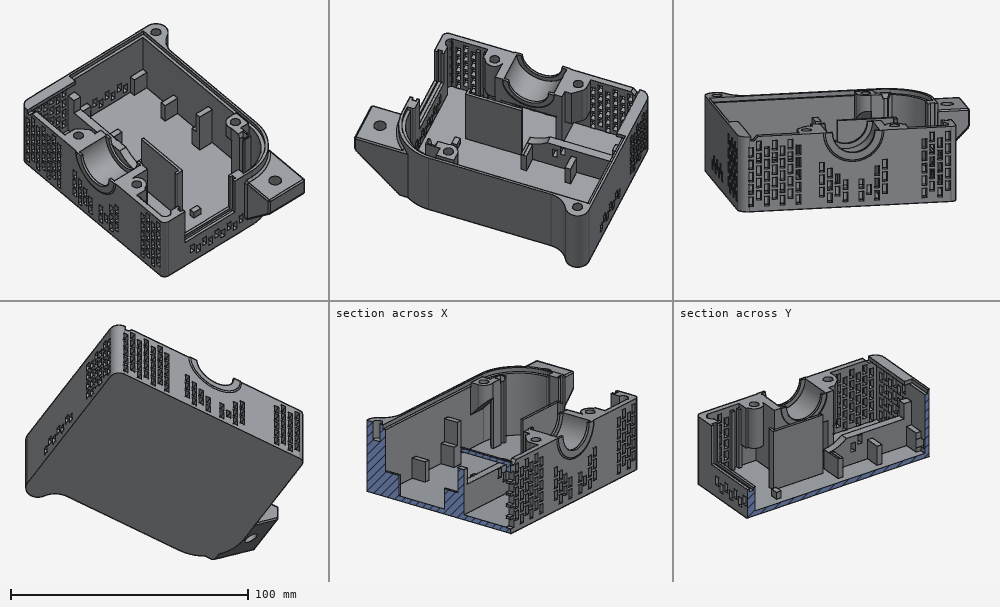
import cadquery as cq
import math

box_length = 93.7
box_width = 68.7
height = 32.7
wall = 2.5
floor = 2.5
front_left_radius = 4.3
front_right_radius = 2.5
back_right_radius = 20.0
inner_corner_radius = 19.0
seat_corner_radius = 19.8
overlap = 0.5

rim_width = 1.1
rim_depth = 1.8
seat_front_y = 26.6
seat_right_end_y = 45.1
shelf_end_x = 5.0

lug_radius = 5.1
lug_y = 71.2
lug_blend_radius = 10.0
screw_radius = 2.1
screw_depth = 8.0

tab_end_x = 108.6
tab_front_y = 45.5
tab_back_y = 65.6
tab_top_z = 28.0
tab_face_bottom_z = 20.0
tab_root_z = 4.8
tab_chamfer = 0.7
tab_root_chamfer = 1.0
tab_flare_x = 86.9
tab_hole_x = 100.9
tab_hole_y = 55.4
tab_hole_radius = 2.6

bearing_x = 49.2
bearing_lip_radius = 9.1
bearing_radius = 11.3
front_ring_radius = 13.0
front_ring_depth = 0.3
front_ring_chamfer = 0.8
back_ring_radius = 11.7
back_ring_depth = 0.4
bearing_start_y = 0.8
bearing_end_y = 15.2
block_left_x = 34.0
block_right_x = 64.3
block_back_y = 15.9
block_bottom_z = 19.0
leg_width = 2.7

boss_radius = 4.0
front_boss_bottom_z = 13.6
left_boss_x = 30.3
right_boss_x = 68.2
front_boss_y = 6.6
right_boss_end_x = 73.1
right_boss_shoulder_y = 7.7
left_boss_step = (31.1, 12.7)
back_boss_x = 67.3
back_boss_y = 62.1
back_boss_end_x = 71.3
back_boss_end_y = 66.0
back_boss_root_z = 17.3

rib_width = 2.5
rib_length = 7.0
rib_spacing = 20.0
rib_count = 3
rib_top_z = 11.7
stop_rib_top_z = 22.3
divider_front_y = 24.7
divider_back_y = 28.2
divider_end_x = 45.0
divider_top_z = 15.8
ramp_start_x = 35.9
ramp_drop = 4.0
ramp_sag = 0.8
end_wall_thickness = 1.1
end_wall_top_z = 12.0
divider_stub_end_x = 6.3
divider_stub_top_z = 23.1
divider_vents = [(28.9, 13.1), (32.4, 10.4)]

board_x = 75.3
board_slot_width = 2.0
board_back_y = 60.2
post_left_x = 69.0
post_step_x = 71.2
post_plate_thickness = 1.2
post_right_x = 77.8
post_front_y = 58.5
post_back_y = 61.7
lead_in_width = 3.7
lead_in_depth = 2.2
front_clip_y = 4.0
clip_top_z = 30.7
pad_length = 3.9
pad_front_y = 31.2
pad_width = 2.4
pad_height = 3.3

partition_left_x = 47.7
partition_right_x = 73.1
partition_back_y = 27.8
partition_thickness = 1.2
partition_hook_y = 24.3
partition_hook_radius = 0.5
partition_top_z = 30.7

right_wall_inner_x = 89.3
right_wall_edge_radius = 1.1
window_front_y = 11.6
window_back_y = 39.3
window_bottom_z = 14.0
groove_inner_x = 90.5
groove_outer_x = 92.4
groove_depth = 1.3
relief_radius = 2.4
relief_x = 88.7

vent_width = 2.1
vent_height = 4.1
vent_pitch = 3.39
front_vent_x = 5.1
front_vent_z = 4.3
front_vent_row_pitch = 5.38
front_vent_rows = {
    0: 5, 1: 5, 2: 5, 3: 5, 4: 5, 5: 5, 6: 5,
    9: 3, 10: 3, 11: 2, 12: 2, 14: 2, 15: 1, 16: 3, 17: 3,
    22: 5, 23: 5, 24: 5, 25: 5,
}
side_vent_y = 5.5
side_vent_z = 5.6
side_vent_row_pitch = 6.2
side_vent_columns = 6
side_vent_rows = 4
side_vent_stagger = 2.12
low_vent_y = 36.2
low_vent_z = 6.5
low_vent_stagger = 2.6
low_vent_count = 7
right_vent_y = 15.8
right_vent_count = 9

side_wall_reach = 9.8

notch_floor_end_x = 6.3
notch_end_x = 8.0


def block(x0, x1, y0, y1, z0, z1):
    """Box between two corners."""
    return cq.Workplane("XY").box(x1 - x0, y1 - y0, z1 - z0, centered=False).translate((x0, y0, z0))


def post(x, y, radius, z0, z1):
    """Upright cylinder."""
    return cq.Workplane("XY", origin=(x, y, z0)).circle(radius).extrude(z1 - z0)


def shaft(radius, y0, y1):
    """Cylinder on the shaft axis, which lies in the plane of the rim."""
    return cq.Workplane("XZ", origin=(bearing_x, y0, height)).circle(radius).extrude(y0 - y1)


def below_rim(solid):
    """Keep only what lies inside the height of the box."""
    return solid.intersect(block(0, box_length, -front_ring_depth, box_width, 0, height))


def vent(x, y, z, along_x):
    """Cutter for one upright slot through a wall that faces X or Y."""
    size = (side_wall_reach, vent_width, vent_height) if along_x else (vent_width, 2 * wall, vent_height)
    return cq.Workplane("XY").box(*size).translate((x, y, z))


def room(inset, front_y, z0, corner_radius):
    """Block up to the rim, set in from the left, right and back faces, rounded at the back right."""
    space = block(inset, box_length - inset, front_y, box_width - inset, z0, height)
    return space.edges("|Z and >X and >Y").fillet(corner_radius)


def screw_lug():
    """Round lug that runs into the back wall through a concave arc."""
    reach = lug_radius + lug_blend_radius
    rise = box_width + lug_blend_radius - lug_y
    run = math.sqrt(reach ** 2 - rise ** 2)
    blend_x = lug_radius + run
    blend_y = box_width + lug_blend_radius
    touch = (lug_radius + run * lug_radius / reach, lug_y + rise * lug_radius / reach)
    half = (math.atan2(-rise, -run) - math.pi / 2) / 2
    middle = (blend_x + lug_blend_radius * math.cos(half), blend_y + lug_blend_radius * math.sin(half))
    return (
        cq.Workplane("XY")
        .moveTo(0, box_width - wall)
        .lineTo(0, lug_y)
        .threePointArc((lug_radius, lug_y + lug_radius), touch)
        .threePointArc(middle, (blend_x, box_width))
        .lineTo(blend_x, box_width - wall)
        .close()
        .extrude(height)
    )


def mounting_tab():
    """Bracket with a 45 degree underside and chamfered edges."""
    inner_x = box_length - back_right_radius
    inner_z = tab_root_z - (box_length - inner_x)
    return (
        cq.Workplane("XZ", origin=(0, tab_front_y, 0))
        .moveTo(inner_x, tab_top_z)
        .lineTo(tab_end_x, tab_top_z)
        .lineTo(tab_end_x, tab_face_bottom_z)
        .lineTo(inner_x, inner_z)
        .close()
        .extrude(tab_front_y - tab_back_y)
        .faces(">X or <Y or >Y").edges("not <X").chamfer(tab_chamfer)
    )


def outer_shell():
    """Solid outside shape: box, screw lug and mounting tab with its flared root."""
    box = room(0, 0, 0, back_right_radius)
    box = box.edges("|Z and <X and <Y").fillet(front_left_radius)
    box = box.edges("|Z and >X and <Y").fillet(front_right_radius)
    tab = mounting_tab().intersect(block(0, tab_end_x, 0, box_width, 0, height))
    shell = box.union(screw_lug()).union(tab)
    root = cq.selectors.BoxSelector(
        (tab_flare_x, tab_front_y - overlap, tab_root_z + tab_root_chamfer),
        (box_length + overlap, tab_back_y - tab_root_chamfer, tab_top_z + overlap),
    )
    return shell.edges(root).chamfer(tab_root_chamfer)


def hollow_out(body):
    """Cut the inside room and the lid seat, leaving the right wall thicker in front."""
    inside = room(wall, wall, floor, inner_corner_radius)
    pier = block(right_wall_inner_x, box_length, 0, seat_right_end_y, 0, height)
    pier = pier.edges("|Z and <X and >Y").fillet(right_wall_edge_radius)
    relief = post(relief_x, wall + relief_radius, relief_radius, floor, height)
    seat = room(rim_width, seat_front_y, height - rim_depth, seat_corner_radius)
    seat = seat.cut(block(right_wall_inner_x, box_length, 0, seat_right_end_y, 0, height))
    return body.cut(inside.cut(pier)).cut(relief).cut(seat)


def corner_shelf():
    """Shelf that widens the left rim in front of the seat."""
    return block(wall - overlap, shelf_end_x, wall - overlap, seat_front_y, height - rim_depth, height)


def panel_window(body):
    """Opening in the right wall with a groove for a sliding panel around it."""
    opening = block(right_wall_inner_x, box_length, window_front_y, window_back_y,
                    window_bottom_z, height)
    groove = block(groove_inner_x, groove_outer_x, window_front_y - groove_depth,
                   window_back_y + groove_depth, window_bottom_z - groove_depth, height)
    return body.cut(opening).cut(groove)


def rim_notch():
    """Cutter for the notch with one sloped end in the front rim."""
    return (
        cq.Workplane("XZ")
        .moveTo(shelf_end_x, height)
        .lineTo(shelf_end_x, height - rim_depth)
        .lineTo(notch_floor_end_x, height - rim_depth)
        .lineTo(notch_end_x, height)
        .close()
        .extrude(-wall)
    )


def left_boss():
    """Front left screw boss, joined to the bearing block by a slanted side."""
    def on_rim(angle):
        return (left_boss_x - boss_radius * math.cos(angle), front_boss_y + boss_radius * math.sin(angle))

    outline = (
        cq.Workplane("XY", origin=(0, 0, front_boss_bottom_z))
        .moveTo(left_boss_x - boss_radius, wall - overlap)
        .lineTo(*on_rim(0))
        .threePointArc(on_rim(math.pi / 8), on_rim(math.pi / 4))
        .lineTo(*left_boss_step)
        .lineTo(block_left_x + overlap, left_boss_step[1])
        .lineTo(block_left_x + overlap, wall - overlap)
        .close()
    )
    return outline.extrude(height - front_boss_bottom_z)


def right_boss():
    """Front right screw boss with a shoulder beside it."""
    shoulder = block(block_right_x - overlap, right_boss_end_x, wall - overlap, right_boss_shoulder_y,
                     front_boss_bottom_z, height)
    return shoulder.union(post(right_boss_x, front_boss_y, boss_radius, front_boss_bottom_z, height))


def back_boss():
    """Back screw boss whose underside slopes at 45 degrees into the wall."""
    wall_y = box_width - wall + overlap
    boss = post(back_boss_x, back_boss_y, boss_radius, floor, height)
    boss = boss.union(block(back_boss_x - boss_radius, back_boss_end_x, back_boss_y, wall_y, floor, height))
    boss = boss.union(block(back_boss_x, back_boss_end_x, post_front_y, wall_y, floor, height))
    rise = wall_y - back_boss_y + boss_radius
    below = (
        cq.Workplane("YZ")
        .moveTo(wall_y, 0)
        .lineTo(wall_y, back_boss_root_z)
        .lineTo(wall_y - rise, back_boss_root_z + rise)
        .lineTo(wall_y - rise, 0)
        .close()
        .extrude(box_length)
    )
    seat_clearance = block(0, box_length, back_boss_end_y, box_width, height - rim_depth, height)
    return boss.cut(below).cut(seat_clearance)


def bearing_block():
    """Half-round bearing carrier standing on two legs against the front wall."""
    carrier = block(block_left_x, block_right_x, wall - overlap, block_back_y, block_bottom_z, height)
    for x in (block_left_x, block_right_x - leg_width):
        carrier = carrier.union(block(x, x + leg_width, wall - overlap, block_back_y, floor - overlap, height))
    front_ring = shaft(front_ring_radius, -front_ring_depth, wall)
    front_ring = front_ring.faces("<Y").chamfer(front_ring_depth, front_ring_chamfer)
    back_ring = shaft(back_ring_radius, wall, block_back_y + back_ring_depth)
    return carrier.union(below_rim(front_ring)).union(below_rim(back_ring))


def bearing_bore():
    """Cutter: shaft opening with a wider seat between two lips."""
    opening = shaft(bearing_lip_radius, -front_ring_depth, block_back_y + back_ring_depth)
    return opening.union(shaft(bearing_radius, bearing_start_y, bearing_end_y))


def divider():
    """Low wall in front of the batteries, with a hollow ramp at its free end."""
    stub = block(wall - overlap, divider_stub_end_x, divider_front_y, divider_back_y,
                 floor - overlap, divider_stub_top_z)
    low_wall = block(wall - overlap, divider_end_x, divider_front_y, divider_back_y,
                     floor - overlap, divider_top_z)
    ramp = (
        cq.Workplane("XZ", origin=(0, divider_front_y, 0))
        .moveTo(ramp_start_x, divider_top_z)
        .threePointArc(
            ((ramp_start_x + divider_end_x) / 2, divider_top_z - ramp_drop / 2 - ramp_sag),
            (divider_end_x, divider_top_z - ramp_drop),
        )
        .lineTo(divider_end_x, divider_top_z)
        .close()
        .extrude(divider_front_y - divider_back_y)
    )
    end_wall = block(divider_end_x - end_wall_thickness, divider_end_x, divider_back_y,
                     divider_back_y + rib_length, floor - overlap, end_wall_top_z)
    low_wall = low_wall.cut(ramp)
    for x, z in divider_vents:
        low_wall = low_wall.cut(vent(x, (divider_front_y + divider_back_y) / 2, z, False))
    return low_wall.union(stub).union(end_wall)


def battery_ribs():
    """Two rows of low ribs, and one taller stop beside the last back rib."""
    back_y = box_width - wall
    last_x = wall + (rib_count - 1) * rib_spacing + rib_width
    ribs = block(last_x, last_x + rib_width, back_y - rib_length, back_y + overlap,
                 floor - overlap, stop_rib_top_z)
    for i in range(rib_count):
        x = wall + i * rib_spacing
        for y in (divider_back_y, back_y - rib_length):
            ribs = ribs.union(block(x, x + rib_width, y, y + rib_length, floor - overlap, rib_top_z))
    return ribs


def board_holders():
    """Slotted back post, front clip and floor pad that hold an upright board."""
    holder = block(post_step_x, post_right_x, post_front_y, post_back_y, floor - overlap, height)
    holder = holder.union(block(post_left_x, post_right_x, post_front_y, post_front_y + post_plate_thickness,
                                floor - overlap, height))
    slot = block(board_x - board_slot_width / 2, board_x + board_slot_width / 2, 0, board_back_y, floor, height)
    flare = (lead_in_width - board_slot_width) / 2
    lead_in = (
        cq.Workplane("XY", origin=(board_x, post_front_y, height))
        .rect(lead_in_width, 2 * (board_back_y + flare - post_front_y))
        .extrude(-lead_in_depth, taper=math.degrees(math.atan(flare / lead_in_depth)))
    )
    clip = block(right_boss_end_x - overlap, post_right_x, wall - overlap, front_clip_y, floor - overlap,
                 clip_top_z)
    pad = block(board_x - pad_width / 2, board_x + pad_width / 2, pad_front_y, pad_front_y + pad_length,
                floor - overlap, floor + pad_height)
    return holder.union(clip).cut(slot).cut(lead_in).union(pad)


def partition():
    """Thin upright wall with a rounded hook at its right end."""
    sheet = block(partition_left_x, partition_right_x, partition_back_y - partition_thickness,
                  partition_back_y, floor - overlap, partition_top_z)
    hook = block(partition_right_x - partition_thickness, partition_right_x, partition_hook_y,
                 partition_back_y, floor - overlap, partition_top_z)
    hook = hook.edges("|Z and <Y").fillet(partition_hook_radius)
    return sheet.union(hook)


def vent_cutters():
    """Staggered slot patterns of the front, left and right walls."""
    cutters = []
    for column, rows in front_vent_rows.items():
        x = front_vent_x + column * vent_pitch
        z = front_vent_z + column % 2 * front_vent_row_pitch / 2
        for row in range(rows):
            cutters.append(vent(x, 0, z + row * front_vent_row_pitch, False))
    for column in range(side_vent_columns):
        y = side_vent_y + column * vent_pitch
        z = side_vent_z + column % 2 * side_vent_stagger
        for row in range(side_vent_rows):
            cutters.append(vent(0, y, z + row * side_vent_row_pitch, True))
    for column in range(low_vent_count):
        z = low_vent_z + column % 2 * low_vent_stagger
        cutters.append(vent(0, low_vent_y + column * vent_pitch, z, True))
    for column in range(right_vent_count):
        z = side_vent_z + (column + 1) % 2 * side_vent_stagger
        cutters.append(vent(box_length, right_vent_y + column * vent_pitch, z, True))
    return cutters


body = panel_window(hollow_out(outer_shell())).cut(rim_notch())
pieces = (corner_shelf(), bearing_block(), left_boss(), right_boss(), back_boss(),
          divider(), battery_ribs(), board_holders(), partition())
for piece in pieces:
    body = body.union(piece)
body = body.cut(bearing_bore())
screws = [(lug_radius, lug_y), (back_boss_x, back_boss_y),
          (left_boss_x, front_boss_y), (right_boss_x, front_boss_y)]
for x, y in screws:
    body = body.cut(post(x, y, screw_radius, height - screw_depth, height))
body = body.cut(post(tab_hole_x, tab_hole_y, tab_hole_radius, 0, height))
for cutter in vent_cutters():
    body = body.cut(cutter)
result = body